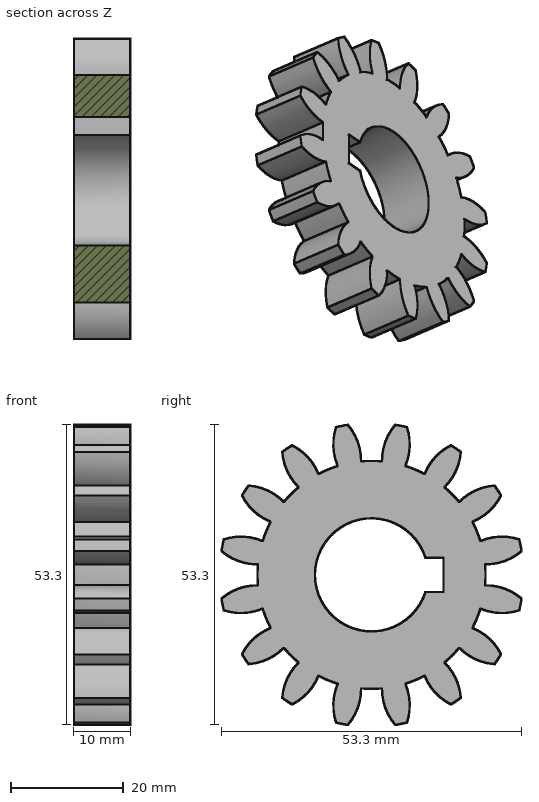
import cadquery as cq
import math

outer_size = 53.3
thickness = 10.0
tooth_count = 16
tooth_pitch = 360.0 / tooth_count
root_radius = 20.25

root_half_width = 2.15
flank_half_width = 2.3
flank_radius = 23.15
tip_half_width = 1.05

bore_diameter = 20.05
keyway_width = 6.0
keyway_depth = 12.75

half_pitch = math.radians(tooth_pitch / 2)
tip_corner = (outer_size / 2 - tip_half_width * math.sin(half_pitch)) / math.cos(half_pitch)
tip_radius = math.hypot(tip_corner, tip_half_width)
root_corner = math.sqrt(root_radius**2 - root_half_width**2)
tooth_base = root_radius / 2


def make_tooth(angle):
    """One tooth with arc flanks, turned about X by the given angle from +Y."""
    tooth = (
        cq.Workplane("YZ")
        .moveTo(tooth_base, -root_half_width)
        .lineTo(root_corner, -root_half_width)
        .threePointArc((flank_radius, -flank_half_width), (tip_corner, -tip_half_width))
        .threePointArc((tip_radius, 0), (tip_corner, tip_half_width))
        .threePointArc((flank_radius, flank_half_width), (root_corner, root_half_width))
        .lineTo(tooth_base, root_half_width)
        .close()
        .extrude(thickness)
    )
    return tooth.rotate((0, 0, 0), (1, 0, 0), angle)


gear = cq.Workplane("YZ").circle(root_radius).extrude(thickness)
for index in range(tooth_count):
    gear = gear.union(make_tooth((index + 0.5) * tooth_pitch))

bore = cq.Workplane("YZ").circle(bore_diameter / 2).extrude(thickness)
keyway = (
    cq.Workplane("YZ")
    .center(keyway_depth / 2, 0)
    .rect(keyway_depth, keyway_width)
    .extrude(thickness)
)

result = gear.cut(bore).cut(keyway)